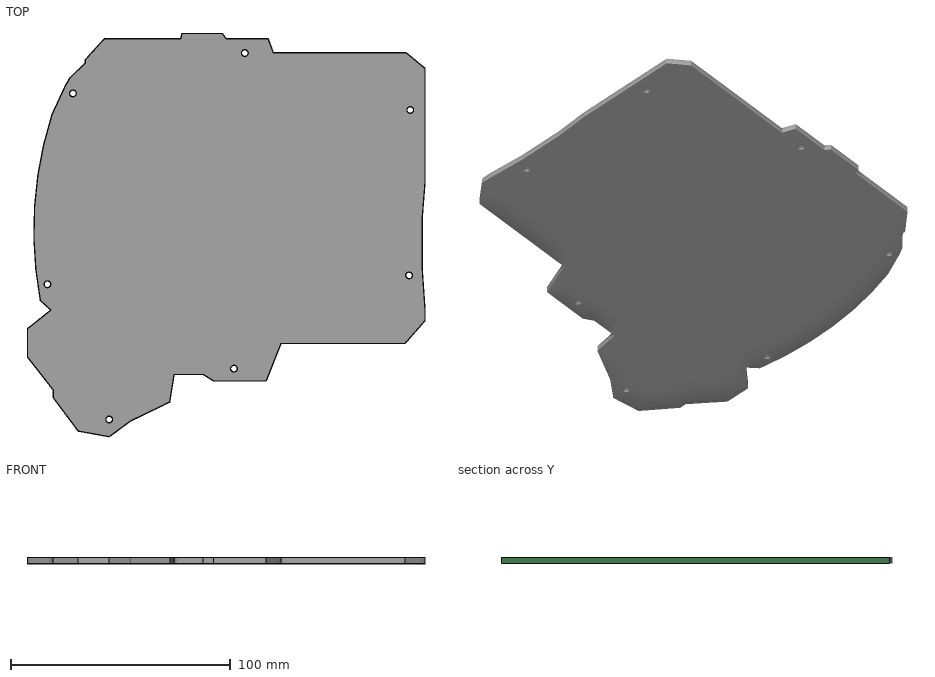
import cadquery as cq

width = 181.2
depth = 183.8
thickness = 3.0
hole_diameter = 3.0

back_edge_y = 181.4
back_right_y = 175.0
front_right_y = 42.5
front_tab_y = 25.4
front_notch_y = 28.3
right_recess_x = 180.0
left_jog_x = 11.8
back_jog_x = 26.3

bow_start = (5.9, 62.1)
bow_middle = (3.0, 97.0)
bow_end = (11.2, 146.8)

back_left_corner = [
    (17.3, 159.9),
    (19.3, 163.4),
    (back_jog_x, 170.2),
    (back_jog_x, 171.7),
    (35.1, back_edge_y),
]

back_edge = [
    (69.8, back_edge_y),
    (70.4, depth),
    (88.8, depth),
    (90.6, back_edge_y),
    (109.7, back_edge_y),
    (112.1, back_right_y),
    (172.5, back_right_y),
]

right_edge = [
    (width, 167.8),
    (width, 116.1),
    (right_recess_x, 99.8),
    (right_recess_x, 76.5),
    (width, 57.7),
    (width, 53.0),
]

front_edge = [
    (172.0, front_right_y),
    (115.6, front_right_y),
    (108.8, front_tab_y),
    (84.9, front_tab_y),
    (80.1, front_notch_y),
    (66.9, front_notch_y),
]

front_left_lobe = [
    (64.9, 15.8),
    (47.0, 7.2),
    (37.3, 0),
    (23.2, 2.5),
    (left_jog_x, 17.8),
    (left_jog_x, 21.3),
    (0, 36.4),
    (0, 49.3),
    (10.7, 57.7),
]

hole_centers = [
    (20.8, 156.4),
    (99.0, 174.8),
    (174.4, 148.9),
    (173.9, 73.5),
    (94.1, 31.0),
    (37.3, 7.9),
    (9.2, 69.5),
]


def make_plate():
    outline = cq.Workplane("XY").moveTo(*bow_start).threePointArc(bow_middle, bow_end)
    for stretch in (back_left_corner, back_edge, right_edge, front_edge, front_left_lobe):
        for corner in stretch:
            outline = outline.lineTo(*corner)
    return outline.close().extrude(thickness)


def drill_holes(plate):
    drills = cq.Workplane("XY").pushPoints(hole_centers).circle(hole_diameter / 2).extrude(thickness)
    return plate.cut(drills)


result = drill_holes(make_plate())